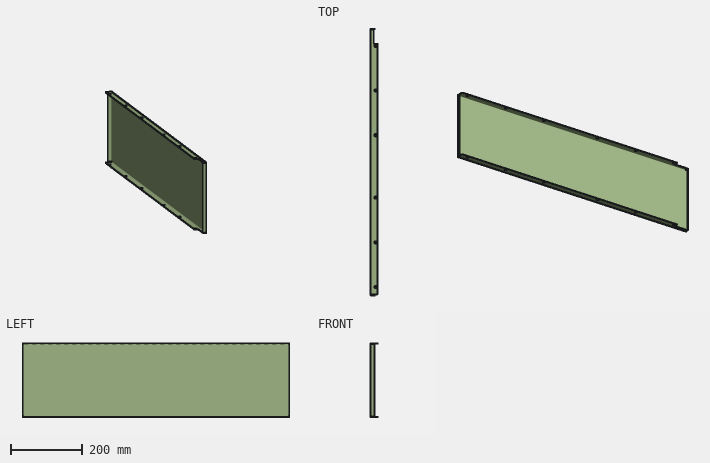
import cadquery as cq

DEPTH = 20.0
LENGTH = 747.0
HEIGHT = 207.0
SHEET = 1.0
BEND_RADIUS = 2.2
INNER_RADIUS = BEND_RADIUS - SHEET

END_DEPTH = 12.0

NOTCH_LENGTH = 41.5
NOTCH_DEPTH = 9.5
FLANGE_SETBACK = 2.2
FLANGE_CORNER_RADIUS = 4.0
CORNER_CLEARANCE = 0.8

HOLE_DIAMETER = 6.0
HOLE_X = 14.5
FIRST_HOLE_Y = 24.0
HOLE_PITCH = 125.0
HOLES_PER_GROUP = 3
GROUP_OFFSET = 425.0
GROUP_COUNT = 2


def block(x_range, y_range, z_range):
    """Box spanning the given (start, end) range along each axis."""
    sizes = [end - start for start, end in (x_range, y_range, z_range)]
    corner = (x_range[0], y_range[0], z_range[0])
    return cq.Workplane("XY").box(*sizes, centered=False).translate(corner)


def rounded_block(inset, radius):
    """Tray envelope moved inwards by inset, open side excepted, with rounded -X edges."""
    envelope = block((inset, DEPTH), (inset, LENGTH - inset), (inset, HEIGHT - inset))
    return envelope.faces("<X").edges().fillet(radius)


def folded_sheet():
    return rounded_block(0, BEND_RADIUS).cut(rounded_block(SHEET, INNER_RADIUS))


def end_cuts(y_range):
    """Trims one end fold to its depth and opens the corners between it and the flanges."""
    relief = SHEET + CORNER_CLEARANCE
    trim = block((END_DEPTH, DEPTH), y_range, (0, HEIGHT))
    bottom_corner = block((BEND_RADIUS, DEPTH), y_range, (0, relief))
    top_corner = block((BEND_RADIUS, DEPTH), y_range, (HEIGHT - relief, HEIGHT))
    return trim.union(bottom_corner).union(top_corner)


def flange_notch():
    """Narrows both flanges next to the +Y fold."""
    y_range = (LENGTH - NOTCH_LENGTH, LENGTH - FLANGE_SETBACK)
    return block((NOTCH_DEPTH, DEPTH), y_range, (0, HEIGHT))


def flange_holes():
    centers = [
        (HOLE_X, FIRST_HOLE_Y + group * GROUP_OFFSET + index * HOLE_PITCH)
        for group in range(GROUP_COUNT)
        for index in range(HOLES_PER_GROUP)
    ]
    return cq.Workplane("XY").pushPoints(centers).circle(HOLE_DIAMETER / 2).extrude(HEIGHT)


result = (
    folded_sheet()
    .cut(end_cuts((0, FLANGE_SETBACK)))
    .cut(end_cuts((LENGTH - FLANGE_SETBACK, LENGTH)))
    .cut(flange_notch())
)
result = result.edges("|Z and >X").edges("<Y").fillet(FLANGE_CORNER_RADIUS)
result = result.cut(flange_holes())